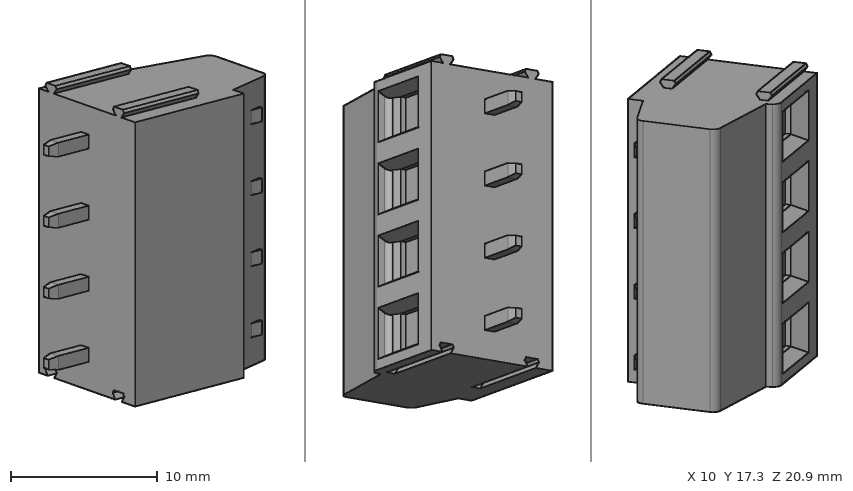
import cadquery as cq
import math


poles = 4
pitch = 5.08
row_height = poles * pitch

width = 10.0
depth = 13.8
wire_shoulder_y = 7.18
wire_shoulder_x = 0.86
wire_shoulder_angle = 15.0
wire_shoulder_radius = 0.6
rear_shoulder_x = 8.9
rear_shoulder_y = 9.8
top_left_x = 1.98
top_right_x = 7.83
top_radius = 0.6

entry_y_low = 1.6
entry_y_high = 6.43
entry_height = 3.6
entry_depth = 1.04
throat_y_low = 2.24
throat_y_high = 5.19
throat_height = 2.56
throat_depth = 1.45
ramp_x = 0.88
ramp_y = 5.96
ramp_radius = 0.39
entry_wall_depth = 0.5

dovetail_centers = (1.26, 8.28)
dovetail_length = 6.72
dovetail_crest = 0.22
crest_inset = 0.12
tongue_height = 0.6
tongue_neck = 0.6
tongue_width = 1.16
groove_height = 0.65
groove_neck = 0.66
groove_width = 1.18

pin_x = 4.8
pin_size_x = 0.8
pin_size_z = 1.0
pin_length = 3.5
pin_tip_length = 0.75
pin_tip_size_x = 0.5
pin_tip_size_z = 0.7

pip_outer_x = 8.34
pip_root_x = 7.6
pip_y_low = 11.8
pip_y_high = 13.06
pip_height = 1.0
pip_chamfer = 0.2


def make_housing():
    shoulder_rise = wire_shoulder_x * math.tan(math.radians(wire_shoulder_angle))
    outline = [
        (0, 0),
        (width, 0),
        (width, rear_shoulder_y),
        (rear_shoulder_x, rear_shoulder_y),
        (top_right_x, depth),
        (top_left_x, depth),
        (wire_shoulder_x, wire_shoulder_y + shoulder_rise),
        (0, wire_shoulder_y),
    ]
    housing = cq.Workplane("XY").polyline(outline).close().extrude(row_height)
    housing = housing.edges("|Z and >Y").fillet(top_radius)
    shoulder_edge = cq.selectors.NearestToPointSelector((0, wire_shoulder_y, row_height / 2))
    return housing.edges(shoulder_edge).fillet(wire_shoulder_radius)


def make_wire_entry(z):
    """Pocket with tapered ends, a curved ramp at high Y and a straight throat."""
    section = (
        cq.Workplane("XY")
        .workplane(offset=z - entry_height / 2)
        .moveTo(0, entry_y_low)
        .lineTo(entry_depth, throat_y_low)
        .lineTo(entry_depth, throat_y_high)
        .lineTo(ramp_x, ramp_y)
        .radiusArc((entry_wall_depth, entry_y_high), -ramp_radius)
        .lineTo(0, entry_y_high)
        .close()
        .extrude(entry_height)
    )
    end_taper = (
        cq.Workplane("XZ")
        .moveTo(0, z - entry_height / 2)
        .lineTo(entry_depth, z - throat_height / 2)
        .lineTo(entry_depth, z + throat_height / 2)
        .lineTo(0, z + entry_height / 2)
        .close()
        .extrude(-depth)
    )
    throat = cq.Workplane("XY").box(
        throat_depth - entry_depth,
        throat_y_high - throat_y_low,
        throat_height,
        centered=(False, False, True),
    ).translate((entry_depth, throat_y_low, z))
    return section.intersect(end_taper).union(throat)


def make_dovetail(x, z, height, neck, full_width):
    """Dovetail bar along Y, widening upwards from z, with its crest edges bevelled."""
    shoulder_z = z + height - dovetail_crest
    crest_half = full_width / 2 - crest_inset
    outline = [
        (x - neck / 2, z),
        (x + neck / 2, z),
        (x + full_width / 2, shoulder_z),
        (x + crest_half, z + height),
        (x - crest_half, z + height),
        (x - full_width / 2, shoulder_z),
    ]
    return cq.Workplane("XZ").polyline(outline).close().extrude(-dovetail_length)


def make_pin(z):
    shank_length = pin_length - pin_tip_length
    base = cq.Workplane("XZ", origin=(pin_x, 0, z))
    shank = base.rect(pin_size_x, pin_size_z).extrude(shank_length)
    tip = (
        base.workplane(offset=shank_length)
        .rect(pin_size_x, pin_size_z)
        .workplane(offset=pin_tip_length)
        .rect(pin_tip_size_x, pin_tip_size_z)
        .loft()
    )
    return shank.union(tip)


def make_pip(z):
    pip = cq.Workplane("XY").box(
        pip_outer_x - pip_root_x,
        pip_y_high - pip_y_low,
        pip_height,
        centered=(False, False, True),
    )
    return pip.faces(">Y").chamfer(pip_chamfer).translate((pip_root_x, pip_y_low, z))


result = make_housing()

for x in dovetail_centers:
    result = result.union(make_dovetail(x, row_height, tongue_height, tongue_neck, tongue_width))
    result = result.cut(make_dovetail(x, 0, groove_height, groove_neck, groove_width))

for pole in range(poles):
    pole_z = (pole + 0.5) * pitch
    result = result.cut(make_wire_entry(pole_z))
    result = result.union(make_pin(pole_z)).union(make_pip(pole_z))